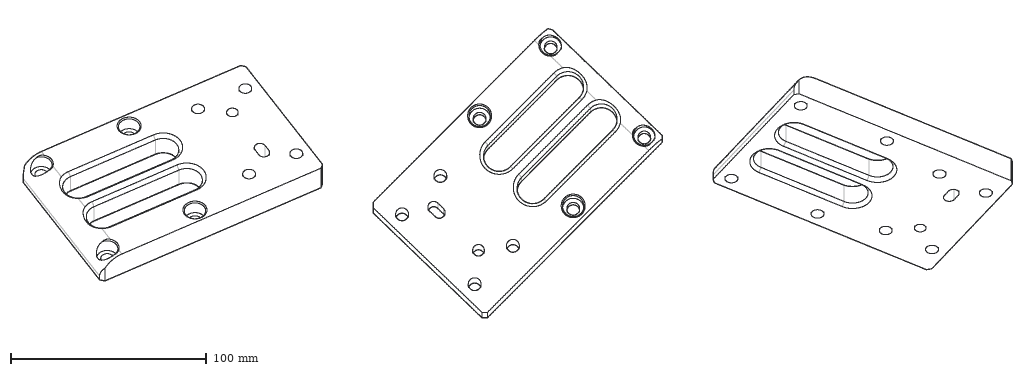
import cadquery as cq

width = 82.0
length = 132.0
thickness = 15.0
corner_chamfer = 2.0
front_round_radius = 12.0

bolt_hole_diameter = 6.6
bolt_spacing_x = 52.0
bolt_spacing_y = 28.0
bolt_group_y = 44.1

locating_width = 6.0
locating_slot_length = 9.9
locating_offset_x = 15.0

screw_hole_diameter = 6.6
counterbore_diameter = 11.0
counterbore_depth = 8.0
counterbore_chamfer = 0.7
screw_offset_x = 33.5
screw_back_y = -6.3
screw_spacing_y = 52.0

window_width = 16.0
window_chamfer = 2.0
window_offset_x = 12.0
window_back_arc_y = 1.3
window_front_arc_y = -49.0
window_length = window_back_arc_y - window_front_arc_y + window_width
window_y = (window_back_arc_y + window_front_arc_y) / 2


def make_plate():
    plate = cq.Workplane("XY").box(width, length, thickness, centered=(True, True, False))
    plate = plate.edges("|Z").chamfer(corner_chamfer)
    profile = (
        cq.Workplane("YZ")
        .rect(length, 2 * thickness)
        .extrude(width / 2, both=True)
        .edges("|X and >Z and <Y")
        .fillet(front_round_radius)
    )
    return plate.intersect(profile)


def make_bolt_holes():
    return (
        cq.Workplane("XY")
        .center(0, bolt_group_y)
        .rarray(bolt_spacing_x, bolt_spacing_y, 2, 2)
        .circle(bolt_hole_diameter / 2)
        .extrude(thickness)
    )


def make_locating_holes():
    base = cq.Workplane("XY").center(0, bolt_group_y)
    hole = base.center(-locating_offset_x, 0).circle(locating_width / 2).extrude(thickness)
    slot = base.center(locating_offset_x, 0).slot2D(locating_slot_length, locating_width).extrude(thickness)
    return hole.union(slot)


def make_screw_hole(x, y):
    hole = cq.Workplane("XY").center(x, y).circle(screw_hole_diameter / 2).extrude(thickness)
    counterbore = (
        cq.Workplane("XY", origin=(x, y, thickness - counterbore_depth))
        .circle(counterbore_diameter / 2)
        .extrude(counterbore_depth)
    )
    rim = (
        cq.Workplane("XY", origin=(x, y, thickness))
        .circle(counterbore_diameter / 2 + counterbore_chamfer)
        .extrude(-counterbore_chamfer, taper=45)
    )
    return hole.union(counterbore).union(rim)


def make_window(x):
    opening = (
        cq.Workplane("XY")
        .center(x, window_y)
        .slot2D(window_length, window_width, 90)
        .extrude(thickness)
    )
    for face_z, inward in ((thickness, -1), (0, 1)):
        rim = (
            cq.Workplane("XY", origin=(x, window_y, face_z))
            .slot2D(window_length + 2 * window_chamfer, window_width + 2 * window_chamfer, 90)
            .extrude(inward * window_chamfer, taper=45)
        )
        opening = opening.union(rim)
    return opening


result = make_plate().cut(make_bolt_holes()).cut(make_locating_holes())
for side in (-1, 1):
    result = result.cut(make_window(side * window_offset_x))
    for screw_y in (screw_back_y, screw_back_y - screw_spacing_y):
        result = result.cut(make_screw_hole(side * screw_offset_x, screw_y))